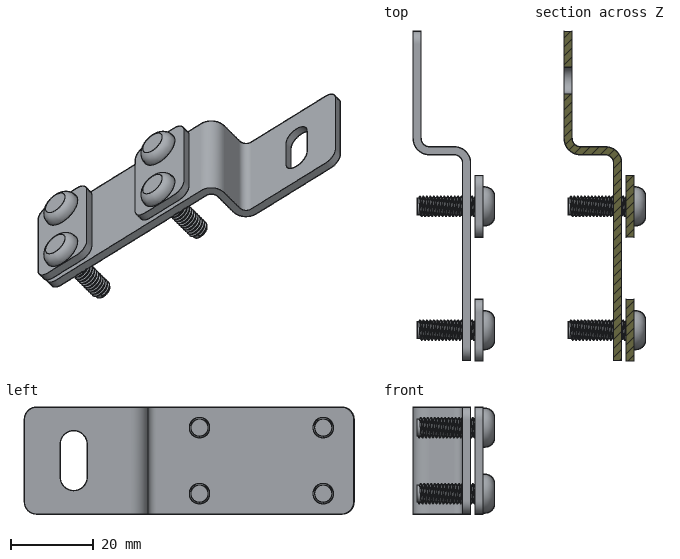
import cadquery as cq


overall_length = 80.0
width = 26.0
sheet = 2.0
bracket_end_y = 0.2
bracket_depth = 14.0
upper_leg_length = 30.0
inner_bend_radius = sheet
outer_bend_radius = inner_bend_radius + sheet
corner_radius = 3.0

slot_width = 6.5
slot_length = 14.5
slot_from_end = 12.0

plate_length = 15.0
plate_gap = sheet / 2
plate_back_x = bracket_depth + plate_gap
plate_front_x = plate_back_x + sheet

screw_spacing_y = 30.0
screw_spacing_z = 16.0
screw_length = 16.0
thread_diameter = 5.0
core_diameter = 4.2
turns_per_screw = 19
thread_pitch = screw_length / turns_per_screw
ridge_root_width = 0.8
ridge_crest_width = 0.1
ridge_embed = 0.1
thread_start = 0.5
head_diameter = 9.5
head_rim = 0.4
head_end_diameter = 6.0
overall_depth = 19.8
head_height = overall_depth - plate_front_x

plate_centers_y = [plate_length / 2, plate_length / 2 + screw_spacing_y]


def make_bracket():
    """Bend the sheet along a Z-shaped profile, round the four corners and cut the slot."""
    step_y = overall_length - upper_leg_length
    inner_x = bracket_depth - sheet
    profile = (
        cq.Workplane("XY")
        .moveTo(0, overall_length)
        .lineTo(0, step_y + outer_bend_radius)
        .radiusArc((outer_bend_radius, step_y), -outer_bend_radius)
        .lineTo(inner_x - inner_bend_radius, step_y)
        .radiusArc((inner_x, step_y - inner_bend_radius), inner_bend_radius)
        .lineTo(inner_x, bracket_end_y)
        .lineTo(bracket_depth, bracket_end_y)
        .lineTo(bracket_depth, step_y + sheet - outer_bend_radius)
        .radiusArc((bracket_depth - outer_bend_radius, step_y + sheet), -outer_bend_radius)
        .lineTo(outer_bend_radius, step_y + sheet)
        .radiusArc((sheet, step_y + outer_bend_radius), inner_bend_radius)
        .lineTo(sheet, overall_length)
        .close()
    )
    bracket = profile.extrude(width / 2, both=True)
    bracket = bracket.faces("<Y or >Y").edges("|X").fillet(corner_radius)
    slot = (
        cq.Workplane("YZ")
        .center(overall_length - slot_from_end, 0)
        .slot2D(slot_length, slot_width, 90)
        .extrude(sheet)
    )
    return bracket.cut(slot)


def make_plate(center_y):
    """Flat clamp plate with rounded corners."""
    plate = (
        cq.Workplane("YZ", origin=(plate_back_x, center_y, 0))
        .rect(plate_length, width)
        .extrude(sheet)
    )
    return plate.edges("|X").fillet(corner_radius)


def make_screw():
    """Screw along +Z with its tip at the origin: core, helical thread ridge and domed head."""
    core_radius = core_diameter / 2
    head_radius = head_diameter / 2
    head_end_radius = head_end_diameter / 2
    core = cq.Workplane("XY").circle(core_radius).extrude(screw_length)

    thread_height = screw_length - sheet / 2 - thread_start
    root_radius = core_radius - ridge_embed
    helix = cq.Wire.makeHelix(thread_pitch, thread_height, root_radius)
    ridge = (
        cq.Workplane("XZ")
        .polyline([
            (root_radius, -ridge_root_width / 2),
            (thread_diameter / 2, -ridge_crest_width / 2),
            (thread_diameter / 2, ridge_crest_width / 2),
            (root_radius, ridge_root_width / 2),
        ])
        .close()
        .sweep(cq.Workplane(helix), isFrenet=True)
        .translate((0, 0, thread_start))
    )

    head = (
        cq.Workplane("XZ")
        .lineTo(head_radius, 0)
        .lineTo(head_radius, head_rim)
        .tangentArcPoint((head_end_radius, head_height), relative=False)
        .lineTo(0, head_height)
        .close()
        .revolve(360, (0, 0, 0), (0, 1, 0))
        .translate((0, 0, screw_length))
    )
    return core.union(ridge).union(head)


screw_tip_x = plate_front_x - screw_length
screw = make_screw().rotate((0, 0, 0), (0, 1, 0), 90).translate((screw_tip_x, 0, 0))

result = make_bracket()
for y in plate_centers_y:
    result = result.union(make_plate(y))
    for z in (-screw_spacing_z / 2, screw_spacing_z / 2):
        result = result.union(screw.translate((0, y, z)))